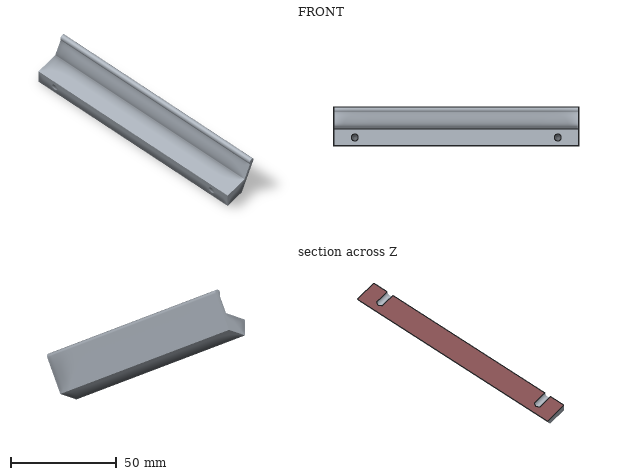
import cadquery as cq
import math

length = 116.0
depth = 19.2
height = 18.5

block_height = 8.0

bead_radius = 1.5
wall_thickness = 2.0
lean_angle = math.radians(27.65)
root_fillet = 0.5
neck_fillet = 0.5

hole_spacing = 96.0
hole_diameter = 3.3
hole_height = 4.0
hole_depth = 8.0
drill_point_angle = math.radians(118.0)

bead_y = depth - bead_radius
bead_z = height - bead_radius
outer_offset = bead_radius
inner_offset = wall_thickness - bead_radius


def wall_face_y(offset, z):
    """Y of a wall face at height z; offset is its distance behind (+) the bead centre."""
    return bead_y + offset / math.cos(lean_angle) - (bead_z - z) * math.tan(lean_angle)


def make_body():
    """Block and leaning wall in one section, with the bead added at the top."""
    outer_top = (
        bead_y + outer_offset * math.cos(lean_angle),
        bead_z - outer_offset * math.sin(lean_angle),
    )
    inner_top = (
        bead_y - inner_offset * math.cos(lean_angle),
        bead_z + inner_offset * math.sin(lean_angle),
    )
    section = [
        (0, 0),
        (wall_face_y(outer_offset, 0), 0),
        outer_top,
        inner_top,
        (wall_face_y(-inner_offset, block_height), block_height),
        (0, block_height),
    ]
    profile = cq.Workplane("YZ").polyline(section).close().extrude(length)
    bead = cq.Workplane("YZ").center(bead_y, bead_z).circle(bead_radius).extrude(length)
    return profile.union(bead)


def edge_at(body, y, z):
    """The lengthwise edge that passes through (y, z)."""
    return body.edges("|X").edges(cq.selectors.NearestToPointSelector((length / 2, y, z)))


def round_inner_corners(body):
    """Fillet the wall root and the neck where the bead meets the wall's inner face."""
    neck_run = math.sqrt(bead_radius**2 - inner_offset**2)
    neck_y = bead_y - inner_offset * math.cos(lean_angle) - neck_run * math.sin(lean_angle)
    neck_z = bead_z + inner_offset * math.sin(lean_angle) - neck_run * math.cos(lean_angle)
    body = edge_at(body, neck_y, neck_z).fillet(neck_fillet)
    root_y = wall_face_y(-inner_offset, block_height)
    return edge_at(body, root_y, block_height).fillet(root_fillet)


def make_screw_hole(x):
    """Drilled hole running back from the front face, ending in a cone."""
    radius = hole_diameter / 2
    tip_depth = hole_depth + radius / math.tan(drill_point_angle / 2)
    half_section = [(0, 0), (radius, 0), (radius, hole_depth), (0, tip_depth)]
    drill = cq.Workplane("XY").polyline(half_section).close().revolve(360, (0, 0, 0), (0, 1, 0))
    return drill.translate((x, 0, hole_height))


result = round_inner_corners(make_body())
for side in (-1, 1):
    result = result.cut(make_screw_hole(length / 2 + side * hole_spacing / 2))